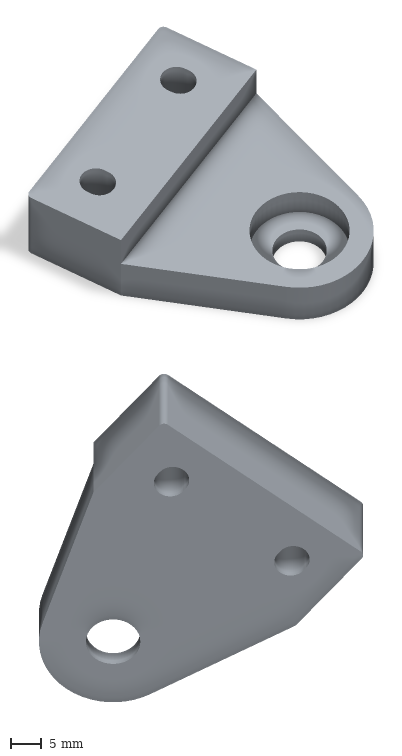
import cadquery as cq
import math

foot_length = 18.0
foot_width = 42.0
corner_radius = 1.0
plate_thickness = 8.0
total_height = 14.0

eye_x = 39.0
eye_radius = 12.0
bore_diameter = 8.8
counterbore_diameter = 16.2
counterbore_depth = 5.0

slot_x = 8.4
slot_spacing = 25.0
slot_length = 6.0
slot_width = 5.3

half_width = foot_width / 2


def make_plate():
    """Base plate whose straight flanks run tangent into the eye."""
    reach = eye_x - foot_length
    corner_distance = math.hypot(reach, half_width)
    corner_angle = math.atan2(half_width, -reach)
    tangent_angle = corner_angle - math.acos(eye_radius / corner_distance)
    tangent_x = eye_x + eye_radius * math.cos(tangent_angle)
    tangent_y = eye_radius * math.sin(tangent_angle)
    return (
        cq.Workplane("XY")
        .moveTo(0, -half_width)
        .lineTo(foot_length, -half_width)
        .lineTo(tangent_x, -tangent_y)
        .threePointArc((eye_x + eye_radius, 0), (tangent_x, tangent_y))
        .lineTo(foot_length, half_width)
        .lineTo(0, half_width)
        .close()
        .extrude(plate_thickness)
    )


def make_foot():
    """Full-height rectangular block over the wide end of the plate."""
    return cq.Workplane("XY").box(foot_length, foot_width, total_height, centered=(False, True, False))


def cut_eye(body):
    """Through bore with a counterbore from the top of the plate."""
    return (
        body.cut(cq.Workplane("XY").center(eye_x, 0).circle(bore_diameter / 2).extrude(plate_thickness))
        .cut(
            cq.Workplane("XY", origin=(eye_x, 0, plate_thickness))
            .circle(counterbore_diameter / 2)
            .extrude(-counterbore_depth)
        )
    )


def cut_slots(body):
    """Two through slots placed symmetrically about the XZ plane."""
    slots = (
        cq.Workplane("XY")
        .pushPoints([(slot_x, side * slot_spacing / 2) for side in (-1, 1)])
        .slot2D(slot_length, slot_width)
        .extrude(total_height)
    )
    return body.cut(slots)


body = make_plate().union(make_foot())
body = body.edges("|Z and <X").fillet(corner_radius)
body = cut_eye(body)
result = cut_slots(body)